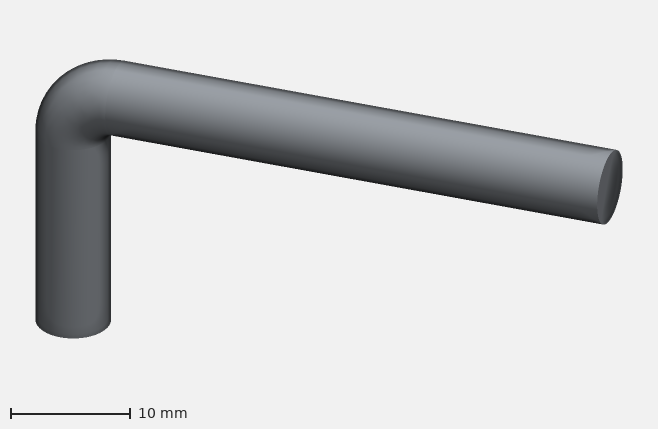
import cadquery as cq

ROD_DIAMETER = 6.35
LONG_LEG_LENGTH = 50.8
SHORT_LEG_LENGTH = 25.4
INSIDE_BEND_RADIUS = 0.79375

rod_radius = ROD_DIAMETER / 2
bend_radius = INSIDE_BEND_RADIUS + rod_radius

long_axis_end = LONG_LEG_LENGTH - rod_radius
short_axis_end = SHORT_LEG_LENGTH - rod_radius


def make_centreline():
    """Short leg up along Z, quarter-circle bend, long leg out along +X."""
    return (
        cq.Workplane("XZ")
        .moveTo(0, -short_axis_end)
        .lineTo(0, -bend_radius)
        .radiusArc((bend_radius, 0), bend_radius)
        .lineTo(long_axis_end, 0)
    )


def make_bent_rod():
    """Sweep the round section along the centreline."""
    section = cq.Workplane("XY", origin=(0, 0, -short_axis_end)).circle(rod_radius)
    return section.sweep(make_centreline())


result = make_bent_rod()